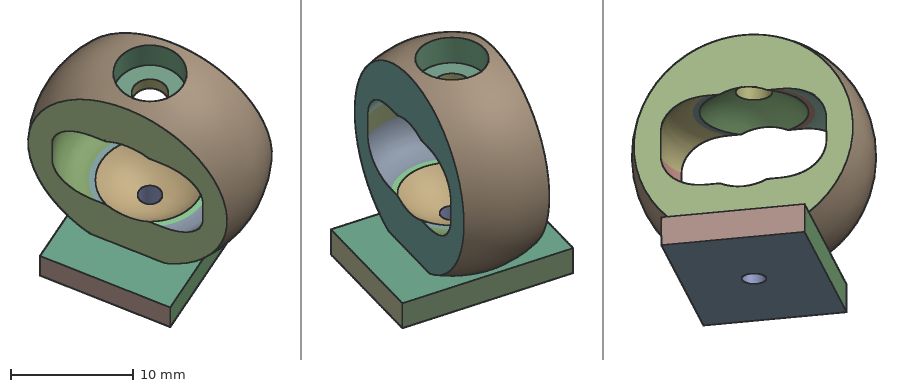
import cadquery as cq
import math

total_height = 20.55
base_length_x = 12.0
base_width_y = 16.0
base_thickness = 2.5

ball_radius = 10.0
band_width = 8.01

seat_radius = 3.0
seat_floor_above_center = 7.0
screw_hole_radius = 1.5

drum_radius = 8.01
drum_height = 8.01
drum_edge_radius = 3.0
inner_sphere_radius = 6.0

drain_hole_radius = 1.0

center_height = total_height - math.sqrt(ball_radius**2 - seat_radius**2)


def cylinder_up(radius, bottom, top):
    """Vertical cylinder on the Z axis between two heights."""
    return cq.Workplane("XY").workplane(offset=bottom).circle(radius).extrude(top - bottom)


def sphere_at_center(radius):
    return cq.Workplane("XY").sphere(radius).translate((0, 0, center_height))


def make_base():
    return cq.Workplane("XY").box(base_length_x, base_width_y, base_thickness, centered=(True, True, False))


def make_band():
    slab = cq.Workplane("XY").box(2 * ball_radius, band_width, total_height, centered=(True, True, False))
    return sphere_at_center(ball_radius).intersect(slab)


def make_interior():
    drum_bottom = center_height - drum_height / 2
    drum = cylinder_up(drum_radius, drum_bottom, drum_bottom + drum_height)
    drum = drum.edges("%CIRCLE").fillet(drum_edge_radius)
    return drum.union(sphere_at_center(inner_sphere_radius))


seat = cylinder_up(seat_radius, center_height + seat_floor_above_center, total_height)
screw_hole = cylinder_up(screw_hole_radius, center_height, total_height)
drain_hole = cylinder_up(drain_hole_radius, 0, center_height)

result = make_base().union(make_band())
for void in (make_interior(), seat, screw_hole, drain_hole):
    result = result.cut(void)